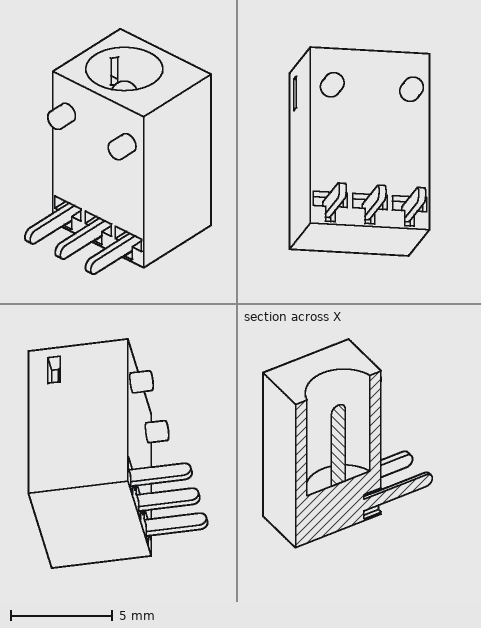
import cadquery as cq

HOUSING_WIDTH = 6.0
HOUSING_DEPTH = 5.0
HOUSING_HEIGHT = 9

BORE_DIAMETER = 3.8
BORE_DEPTH = 6.0
BORE_X = -0.5
BORE_Y = HOUSING_DEPTH / 2
BORE_FLOOR_Z = HOUSING_HEIGHT - BORE_DEPTH

CONTACT_DIAMETER = 1.31
CONTACT_TIP_RECESS = 0.855

WINDOW_WIDTH = 0.62
WINDOW_HEIGHT = 1.61
WINDOW_DEPTH = 1.01
WINDOW_BACK_WALL = 0.98
WINDOW_TOP_WALL = 0.58

PEG_DIAMETER = 1.0
PEG_LENGTH = 1.0
PEG_EDGE_RADIUS = 0.1
PEG_Z = 7.0

TERMINAL_PITCH = 2.0
TERMINAL_XS = [-TERMINAL_PITCH, 0, TERMINAL_PITCH]
TERMINAL_THICKNESS = 0.35
TERMINAL_HEIGHT = 0.765
TERMINAL_LENGTH = 3.0
TERMINAL_Z = 1.0

POCKET_DEPTH = 1.0
POCKET_BAR_WIDTH = 1.72
POCKET_STEM_WIDTH = 0.49
POCKET_TOP_Z = 1.64
POCKET_LEDGE_Z = 0.91
POCKET_BOTTOM_Z = 0.14

PEG_XS = [TERMINAL_XS[0], TERMINAL_XS[-1]]


def box_between(x_range, y_range, z_range):
    """Axis-aligned box given its lower and upper limit on each axis."""
    size = [high - low for low, high in (x_range, y_range, z_range)]
    corner = (x_range[0], y_range[0], z_range[0])
    return cq.Workplane("XY").box(*size, centered=False).translate(corner)


def make_block():
    return cq.Workplane("XY").box(
        HOUSING_WIDTH, HOUSING_DEPTH, HOUSING_HEIGHT, centered=(True, False, False)
    )


def make_bore():
    return (
        cq.Workplane("XY", origin=(BORE_X, BORE_Y, BORE_FLOOR_Z))
        .circle(BORE_DIAMETER / 2)
        .extrude(BORE_DEPTH)
    )


def make_window():
    left = -HOUSING_WIDTH / 2
    back = HOUSING_DEPTH - WINDOW_BACK_WALL
    top = HOUSING_HEIGHT - WINDOW_TOP_WALL
    return box_between(
        (left, left + WINDOW_DEPTH),
        (back - WINDOW_WIDTH, back),
        (top - WINDOW_HEIGHT, top),
    )


def make_peg(x):
    """Round peg reaching forward from the front face, with a rounded end."""
    return (
        cq.Workplane("XZ", origin=(x, 0, PEG_Z))
        .circle(PEG_DIAMETER / 2)
        .extrude(PEG_LENGTH)
        .faces("<Y")
        .edges()
        .fillet(PEG_EDGE_RADIUS)
    )


def make_pocket(x):
    """T-shaped pocket: a wide bar above a narrow stem."""
    half_bar = POCKET_BAR_WIDTH / 2
    half_stem = POCKET_STEM_WIDTH / 2
    depth_range = (0, POCKET_DEPTH)
    bar = box_between((x - half_bar, x + half_bar), depth_range, (POCKET_LEDGE_Z, POCKET_TOP_Z))
    stem = box_between((x - half_stem, x + half_stem), depth_range, (POCKET_BOTTOM_Z, POCKET_LEDGE_Z))
    return bar.union(stem)


def make_terminal(x):
    """Flat blade from the pocket floor forward, ending in a full round."""
    radius = TERMINAL_HEIGHT / 2
    round_y = radius - TERMINAL_LENGTH
    top = TERMINAL_Z + radius
    bottom = TERMINAL_Z - radius
    return (
        cq.Workplane("YZ", origin=(x, 0, 0))
        .moveTo(POCKET_DEPTH, top)
        .lineTo(round_y, top)
        .threePointArc((-TERMINAL_LENGTH, TERMINAL_Z), (round_y, bottom))
        .lineTo(POCKET_DEPTH, bottom)
        .close()
        .extrude(TERMINAL_THICKNESS / 2, both=True)
    )


def make_housing():
    """Housing with its pegs and moulded-in terminals as one solid."""
    body = make_block().cut(make_bore()).cut(make_window())
    for x in PEG_XS:
        body = body.union(make_peg(x))
    for x in TERMINAL_XS:
        body = body.cut(make_pocket(x)).union(make_terminal(x))
    return body


def make_contact_pin():
    """Round pin standing on the bore floor, with a hemispherical tip."""
    radius = CONTACT_DIAMETER / 2
    length = BORE_DEPTH - CONTACT_TIP_RECESS
    shank_length = length - radius
    shank = cq.Workplane("XY").circle(radius).extrude(shank_length)
    tip = cq.Workplane("XY").sphere(radius).translate((0, 0, shank_length))
    return shank.union(tip).translate((BORE_X, BORE_Y, BORE_FLOOR_Z))


housing = make_housing()
contact_pin = make_contact_pin()

result = cq.Compound.makeCompound([housing.solids().val(), contact_pin.solids().val()])